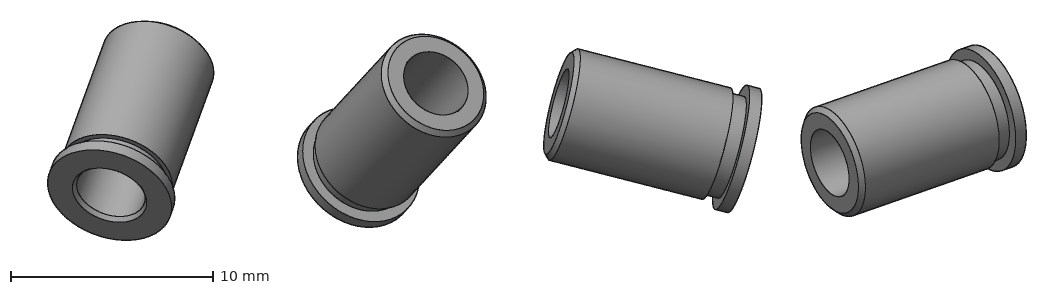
import cadquery as cq

flange_diameter = 6.35
flange_thickness = 0.635
overall_length = 9.525
body_diameter = 5.7
groove_diameter = 5.2
groove_width = 0.76
end_chamfer = 0.25

bore_diameter = 3.5
bore_mouth_diameter = 3.8
bore_chamfer_depth = 0.25


def turned_solid(profile):
    """Revolve a closed profile of (radius, y) points about the Y axis."""
    axis_start = (0, 0)
    axis_end = (0, 1)
    return cq.Workplane("XY").polyline(profile).close().revolve(360, axis_start, axis_end)


def make_bushing():
    """Flange, relief groove, chamfered body and bore as one turned section."""
    flange_radius = flange_diameter / 2
    groove_radius = groove_diameter / 2
    body_radius = body_diameter / 2
    bore_radius = bore_diameter / 2
    mouth_radius = bore_mouth_diameter / 2
    groove_end = flange_thickness + groove_width

    return turned_solid([
        (mouth_radius, 0),
        (flange_radius, 0),
        (flange_radius, flange_thickness),
        (groove_radius, flange_thickness),
        (groove_radius, groove_end),
        (body_radius, groove_end),
        (body_radius, overall_length - end_chamfer),
        (body_radius - end_chamfer, overall_length),
        (bore_radius, overall_length),
        (bore_radius, bore_chamfer_depth),
    ])


result = make_bushing()